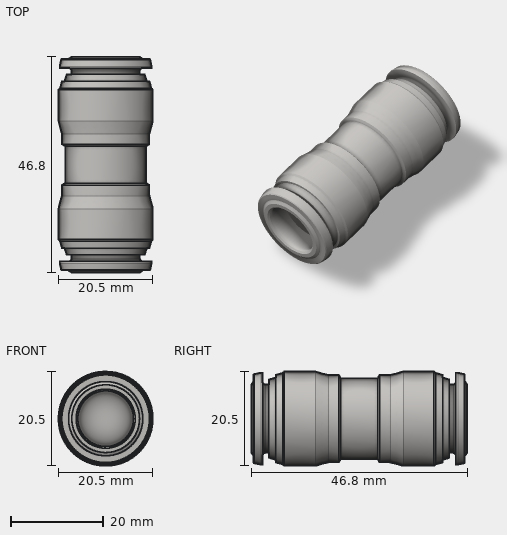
import cadquery as cq

length = 46.8
half_length = length / 2

lip_depth = 0.45
lip_tip_radius = 7.35
lip_base_radius = 8.05
flange_face_radius = 9.5
flange_face_chamfer = 0.2
flange_rim_radius = 9.95
flange_taper_end = 2.0
flange_end = 2.5
neck_radius = 7.45
neck_fillet = 0.5

ring_start = 3.85
ring_end = 5.35
ring_small_radius = 8.45
ring_large_radius = 8.95

body_radius = 10.25
shoulder_radius = 9.5
shoulder_rim_radius = 9.9
shoulder_end = 6.85
body_start = 7.2
body_end = 13.9
step_start = 16.7
step_end = 19.38
waist_radius = 8.8
step_bevel_length = 0.4

socket_radius = 6.05
socket_mouth_radius = 6.4
socket_mouth_depth = 0.37
socket_depth = 5.35


def half_connector():
    """Solid half from the -Y end to mid-length; depths are measured inward from the end."""

    def at(radius, depth):
        return (radius, depth - half_length)

    profile = (
        cq.Workplane("XY")
        .moveTo(*at(0, socket_depth))
        .lineTo(*at(socket_radius, socket_depth))
        .lineTo(*at(socket_radius, socket_mouth_depth))
        .lineTo(*at(socket_mouth_radius, 0))
        .lineTo(*at(lip_tip_radius, 0))
        .lineTo(*at(lip_base_radius, lip_depth))
        .lineTo(*at(flange_face_radius, lip_depth))
        .lineTo(*at(flange_face_radius + flange_face_chamfer, lip_depth + flange_face_chamfer))
        .lineTo(*at(flange_rim_radius, flange_taper_end))
        .lineTo(*at(flange_rim_radius, flange_end))
        .lineTo(*at(neck_radius + neck_fillet, flange_end))
        .radiusArc(at(neck_radius, flange_end + neck_fillet), neck_fillet)
        .lineTo(*at(neck_radius, ring_start))
        .lineTo(*at(ring_small_radius, ring_start))
        .lineTo(*at(ring_large_radius, ring_end))
        .lineTo(*at(shoulder_radius, ring_end))
        .lineTo(*at(shoulder_rim_radius, shoulder_end))
        .lineTo(*at(body_radius, body_start))
        .lineTo(*at(body_radius, body_end))
        .lineTo(*at(shoulder_radius, step_start))
        .lineTo(*at(shoulder_radius, step_end - step_bevel_length))
        .lineTo(*at(waist_radius, step_end))
        .lineTo(*at(waist_radius, half_length))
        .lineTo(*at(0, half_length))
        .close()
    )
    return profile.revolve(360, (0, 0, 0), (0, 1, 0))


near_half = half_connector()
far_half = near_half.mirror("XZ")
result = near_half.union(far_half, clean=True)